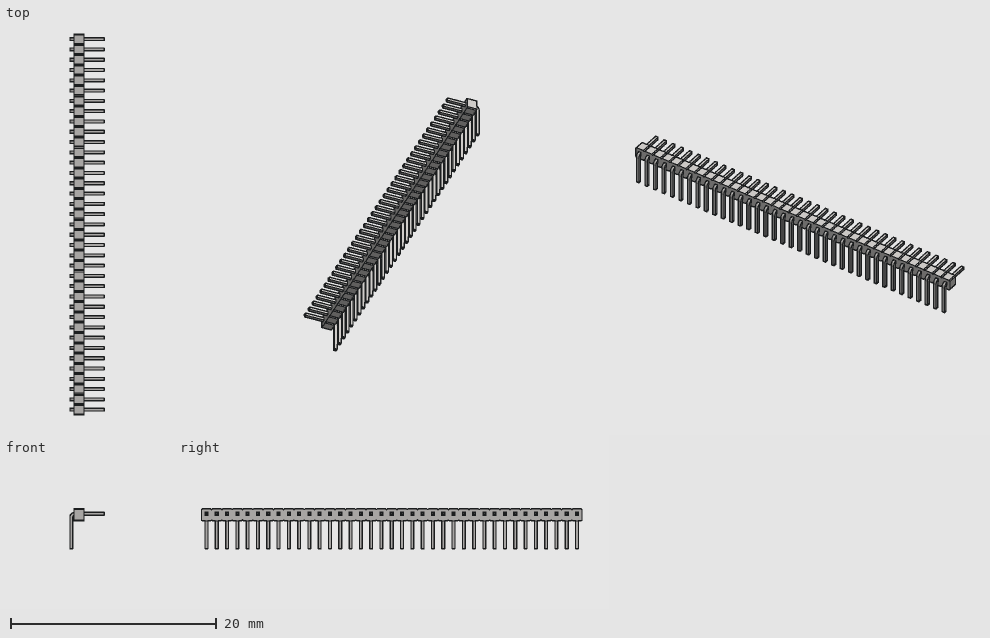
import cadquery as cq

pin_count = 37
pitch = 1.0
overall_height = 3.94

housing_depth = 1.0
housing_height = 1.2
segment_chamfer = 0.1

pin_size = 0.3
pin_bend_offset = 0.4
pin_reach = 2.0
pin_axis_drop = 0.5
tip_chamfer = 0.08
bend_outer_radius = 0.5
bend_inner_radius = bend_outer_radius - pin_size

row_length = pin_count * pitch
pin_end_x = pin_bend_offset + housing_depth + pin_reach
pin_top_z = housing_height - pin_axis_drop + pin_size / 2
pin_underside_z = pin_top_z - pin_size
pin_bottom_z = housing_height - overall_height


def housing_segment(y_centre):
    """One block of the housing, bevelled along its four X-direction edges."""
    return (
        cq.Workplane("XY")
        .box(housing_depth, pitch, housing_height, centered=(False, True, False))
        .edges("|X")
        .chamfer(segment_chamfer)
        .translate((pin_bend_offset, y_centre, 0))
    )


def bent_pin(y_centre):
    """L-shaped square pin with a rounded bend and tips bevelled on all four sides."""
    profile = [
        (0, pin_bottom_z),
        (0, pin_top_z),
        (pin_end_x, pin_top_z),
        (pin_end_x, pin_underside_z),
        (pin_size, pin_underside_z),
        (pin_size, pin_bottom_z),
    ]
    pin = (
        cq.Workplane("XZ", origin=(0, y_centre, 0))
        .polyline(profile)
        .close()
        .extrude(pin_size / 2, both=True)
        .faces(">X or <Z")
        .chamfer(tip_chamfer)
    )
    outer_corner = cq.selectors.NearestToPointSelector((0, y_centre, pin_top_z))
    inner_corner = cq.selectors.NearestToPointSelector((pin_size, y_centre, pin_underside_z))
    pin = pin.edges("|Y").edges(outer_corner).fillet(bend_outer_radius)
    return pin.edges("|Y").edges(inner_corner).fillet(bend_inner_radius)


bodies = []
for index in range(pin_count):
    y_centre = (index + 0.5) * pitch - row_length / 2
    bodies.append(housing_segment(y_centre).val())
    bodies.append(bent_pin(y_centre).val())

result = cq.Workplane(bodies[0].fuse(*bodies[1:]).clean())